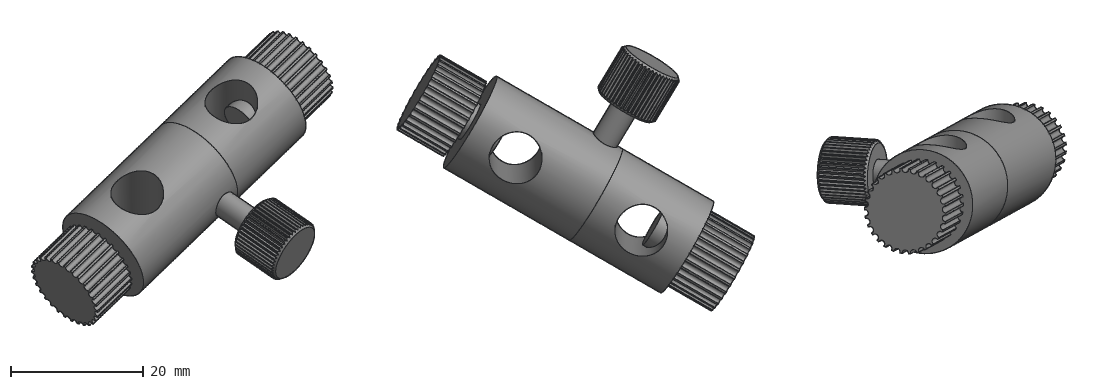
import cadquery as cq
import math

OVERALL_LENGTH = 55.0
BARREL_DIAMETER = 16.0
REAR_BARREL_LENGTH = 16.0
FRONT_BARREL_LENGTH = 22.0
ROD_HOLE_DIAMETER = 8.0
REAR_ROD_HOLE_Y = REAR_BARREL_LENGTH / 2
FRONT_ROD_HOLE_Y = -14.0

FRONT_CLAMP_GAP = 1.0
CLAMP_KNOB_DIAMETER = 13.1
CLAMP_KNOB_LENGTH = (OVERALL_LENGTH - REAR_BARREL_LENGTH - FRONT_BARREL_LENGTH - FRONT_CLAMP_GAP) / 2
CLAMP_STEM_DIAMETER = 6.15
CLAMP_STEM_LENGTH = 6.0
CLAMP_FLUTE_COUNT = 30
CLAMP_FLUTE_RADIUS = 0.5
CLAMP_FLUTE_INSET = 0.08
REAR_FIRST_FLUTE_ANGLE = 90
FRONT_FIRST_FLUTE_ANGLE = 0

LOCK_Y = -3.0
LOCK_KNOB_DIAMETER = 10.1
LOCK_KNOB_LENGTH = 8.05
LOCK_KNOB_END_X = 21.95
LOCK_KNOB_START_X = LOCK_KNOB_END_X - LOCK_KNOB_LENGTH
LOCK_KNOB_CHAMFER = 0.5
LOCK_STEM_DIAMETER = 4.2
LOCK_TOOTH_COUNT = 48
LOCK_TOOTH_DEPTH = 0.25
LOCK_TOOTH_TIP_WIDTH = 0.15


def cylinder_y(diameter, start_y, length):
    """Cylinder on the Y axis running from start_y toward +Y."""
    return cq.Workplane("XZ", origin=(0, start_y, 0)).circle(diameter / 2).extrude(-length)


def cylinder_x(diameter, start_x, length):
    """Cylinder on the lock screw axis running from start_x toward +X."""
    return cq.Workplane("YZ", origin=(start_x, LOCK_Y, 0)).circle(diameter / 2).extrude(length)


def rod_hole(center_y):
    """Vertical cutter for the rod hole across a barrel."""
    return (
        cq.Workplane("XY", origin=(0, center_y, -BARREL_DIAMETER))
        .circle(ROD_HOLE_DIAMETER / 2)
        .extrude(2 * BARREL_DIAMETER)
    )


def clamp_stem(knob_y, direction):
    """Plain stem running from the knob face at knob_y along direction (+1 or -1 in Y)."""
    start_y = min(knob_y, knob_y + direction * CLAMP_STEM_LENGTH)
    return cylinder_y(CLAMP_STEM_DIAMETER, start_y, CLAMP_STEM_LENGTH)


def clamp_screw(knob_y, direction, first_flute_angle):
    """Fluted knob with its stem; the knob lies on the far side of knob_y from the stem."""
    start_y = min(knob_y, knob_y - direction * CLAMP_KNOB_LENGTH)
    knob = cylinder_y(CLAMP_KNOB_DIAMETER, start_y, CLAMP_KNOB_LENGTH)
    flute_circle_radius = CLAMP_KNOB_DIAMETER / 2 - CLAMP_FLUTE_INSET
    flutes = (
        cq.Workplane("XZ", origin=(0, start_y, 0))
        .polarArray(flute_circle_radius, first_flute_angle, 360, CLAMP_FLUTE_COUNT)
        .circle(CLAMP_FLUTE_RADIUS)
        .extrude(-CLAMP_KNOB_LENGTH)
    )
    return knob.cut(flutes).union(clamp_stem(knob_y, direction))


def polar_point(radius, angle):
    """Point at the given radius and angle in radians."""
    return (radius * math.cos(angle), radius * math.sin(angle))


def lock_stem():
    """Plain stem running from the barrel axis to the lock knob."""
    return cylinder_x(LOCK_STEM_DIAMETER, 0, LOCK_KNOB_START_X)


def lock_screw():
    """Finely toothed knob, chamfered at both ends, with its stem."""
    tip_radius = LOCK_KNOB_DIAMETER / 2
    root_radius = tip_radius - LOCK_TOOTH_DEPTH
    pitch_angle = 2 * math.pi / LOCK_TOOTH_COUNT
    half_tip_angle = LOCK_TOOTH_TIP_WIDTH / 2 / tip_radius
    outline = []
    for index in range(LOCK_TOOTH_COUNT):
        tooth_angle = index * pitch_angle
        outline.append(polar_point(tip_radius, tooth_angle - half_tip_angle))
        outline.append(polar_point(tip_radius, tooth_angle + half_tip_angle))
        outline.append(polar_point(root_radius, tooth_angle + pitch_angle / 2))
    toothed = (
        cq.Workplane("YZ", origin=(LOCK_KNOB_START_X, LOCK_Y, 0))
        .polyline(outline)
        .close()
        .extrude(LOCK_KNOB_LENGTH)
    )
    envelope = cylinder_x(LOCK_KNOB_DIAMETER, LOCK_KNOB_START_X, LOCK_KNOB_LENGTH)
    envelope = envelope.faces("<X or >X").edges().chamfer(LOCK_KNOB_CHAMFER)
    return toothed.intersect(envelope).union(lock_stem())


rear_knob_y = REAR_BARREL_LENGTH
front_knob_y = -FRONT_BARREL_LENGTH - FRONT_CLAMP_GAP

rear_barrel = (
    cylinder_y(BARREL_DIAMETER, 0, REAR_BARREL_LENGTH)
    .cut(rod_hole(REAR_ROD_HOLE_Y))
    .cut(clamp_stem(rear_knob_y, -1))
)
front_barrel = (
    cylinder_y(BARREL_DIAMETER, -FRONT_BARREL_LENGTH, FRONT_BARREL_LENGTH)
    .cut(rod_hole(FRONT_ROD_HOLE_Y))
    .cut(clamp_stem(front_knob_y, 1))
    .cut(lock_stem())
)
clamp_screws = [
    clamp_screw(rear_knob_y, -1, REAR_FIRST_FLUTE_ANGLE),
    clamp_screw(front_knob_y, 1, FRONT_FIRST_FLUTE_ANGLE),
]

result = cq.Compound.makeCompound(
    [
        rear_barrel.val(),
        front_barrel.val(),
        *[screw.val() for screw in clamp_screws],
        lock_screw().val(),
    ]
)